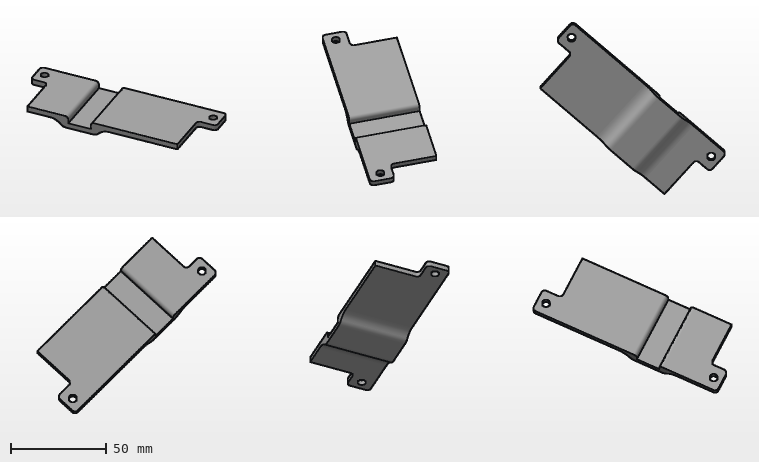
import cadquery as cq
import math

length = 107.6
width = 38.0
height = 7.2

plate_thickness = 3.2
tab_width = 13.0
left_tab_length = 9.8
right_tab_length = 10.9
corner_radius = 2.0
hole_diameter = 4.2
hole_end_offset = 5.0
hole_back_offset = 6.5

channel_center = 40.0
channel_width = 13.0
channel_depth = 4.1
channel_lip_radius = 2.0
trough_width = 19.2
trough_slope_angle = 45.0
trough_upper_radius = 8.4
trough_lower_radius = 5.0


def make_plate():
    """Flat plate with a tab at each end, rounded everywhere but the front corners."""
    tab_front = width - tab_width
    body_right = length - right_tab_length
    outline = [
        (left_tab_length, 0),
        (body_right, 0),
        (body_right, tab_front),
        (length, tab_front),
        (length, width),
        (0, width),
        (0, tab_front),
        (left_tab_length, tab_front),
    ]
    plate = (
        cq.Workplane("XY")
        .workplane(offset=height - plate_thickness)
        .polyline(outline)
        .close()
        .extrude(plate_thickness)
    )
    front_corners = cq.selectors.BoxSelector((-1.1, -1.1, -1.1), (length + 1.1, 1.1, height + 1.1))
    return plate.edges(cq.StringSyntaxSelector("|Z") - front_corners).fillet(corner_radius)


def extrude_profile(points):
    """Extrude an XZ outline over the full width, from front to back."""
    return cq.Workplane("XZ").polyline(points).close().extrude(-width)


def make_trough():
    """Thickened strip whose sloped sides blend into the plate underside."""
    underside = height - plate_thickness
    half_bottom = trough_width / 2
    slope_run = underside / math.tan(math.radians(trough_slope_angle))
    half_top = half_bottom + slope_run
    half_strip = half_top + trough_upper_radius
    profile = [
        (channel_center - half_strip, height),
        (channel_center - half_strip, underside),
        (channel_center - half_top, underside),
        (channel_center - half_bottom, 0),
        (channel_center + half_bottom, 0),
        (channel_center + half_top, underside),
        (channel_center + half_strip, underside),
        (channel_center + half_strip, height),
    ]
    trough = extrude_profile(profile)
    mid_plate = height - plate_thickness / 2
    upper_bends = cq.selectors.BoxSelector(
        (channel_center - half_top - 1.1, -1.1, underside / 2),
        (channel_center + half_top + 1.1, width + 1.1, mid_plate),
    )
    trough = trough.edges("|Y and <Z").fillet(trough_lower_radius)
    return trough.edges(upper_bends).edges("|Y").fillet(trough_upper_radius)


def cut_channel(part):
    """Cut the square-bottomed channel and round its two upper lips."""
    half_channel = channel_width / 2
    floor = height - channel_depth
    left = channel_center - half_channel
    right = channel_center + half_channel
    part = part.cut(extrude_profile([(left, floor), (right, floor), (right, height), (left, height)]))
    lips = cq.selectors.BoxSelector(
        (left - 1.1, -1.1, height - 1.1), (right + 1.1, width + 1.1, height + 1.1)
    )
    return part.edges(lips).edges("|Y").fillet(channel_lip_radius)


def cut_holes(part):
    """Drill one mounting hole through each tab."""
    for hole_x in (hole_end_offset, length - hole_end_offset):
        drill = (
            cq.Workplane("XY")
            .center(hole_x, width - hole_back_offset)
            .circle(hole_diameter / 2)
            .extrude(height)
        )
        part = part.cut(drill)
    return part


result = cut_holes(cut_channel(make_plate().union(make_trough()).clean()))